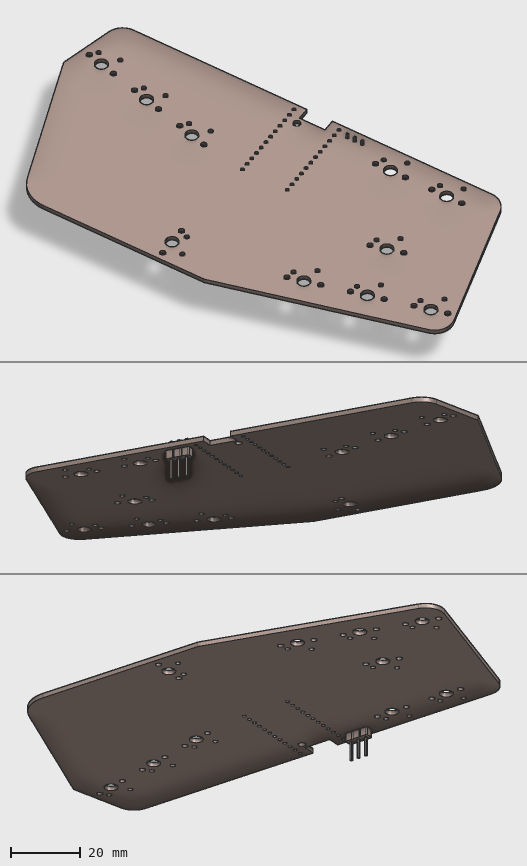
import cadquery as cq
import math


board_length = 149.0
board_width = 72.3
board_thickness = 1.5
slant = 15.0
left_tip_y = 50.8
front_left_x = 17.7
front_right_x = 79.5
corner_radius = 5.8
front_left_radius = 10.3

notch_left_x = 69.0
notch_width = 8.6
notch_depth = 4.0

pin_pitch = 2.5

switch_pitch = 19.0
slanted_row_count = 3
rear_row_count = 2
thumb_switch_angle = -90
center_hole_diameter = 4.0
post_hole_diameter = 1.8
post_offset = 5.0
contact_hole_diameter = 1.5
contact_offsets = [(-3.9, 2.5), (2.5, 5.0)]

left_row_start = (9.5, 56.0)
right_row_start = (104.1, 14.6)
rear_row_start = (102.0, 64.7)
thumb_switch = (63.9, 7.6)

controller_hole_diameter = 1.09
controller_hole_count = 12
controller_columns_x = (65.8, 81.0)
controller_front_y = 42.5

mount_hole_diameter = 2.2
mount_hole_place = (69.4, 66.1)

pin_count = 3
pin_side = 0.64
pin_hole_diameter = 1.0
pin_length = 11.5
pin_above_block = 3.0
block_height = 2.5
block_chamfer = 0.25
header_x = 87.1
header_y = 69.1

sin_slant = math.sin(math.radians(slant))
cos_slant = math.cos(math.radians(slant))
tan_slant = math.tan(math.radians(slant))

pin_places = [(header_x + (i - (pin_count - 1) / 2) * pin_pitch, header_y) for i in range(pin_count)]


def step_along(start, angle, steps):
    """Point that lies a number of switch pitches from start, in the direction of angle."""
    distance = steps * switch_pitch
    turn = math.radians(angle)
    return (start[0] + distance * math.cos(turn), start[1] + distance * math.sin(turn))


def round_corner(blank, corner, radius):
    middle = (*corner, board_thickness / 2)
    return blank.edges("|Z").edges(cq.NearestToPointSelector(middle)).fillet(radius)


def board_blank():
    right_x = board_length + corner_radius * (cos_slant + sin_slant - 1)
    right_y = (right_x - front_right_x) * tan_slant
    rear_left = ((board_width - left_tip_y) * tan_slant, board_width)
    rear_right = (right_x - (board_width - right_y) * tan_slant, board_width)
    right = (right_x, right_y)
    front_left = (front_left_x, 0)
    corners = [(0, left_tip_y), rear_left, rear_right, right, (front_right_x, 0), front_left]
    blank = cq.Workplane("XY").polyline(corners).close().extrude(board_thickness)
    for corner in (rear_left, rear_right, right):
        blank = round_corner(blank, corner, corner_radius)
    return round_corner(blank, front_left, front_left_radius)


def notch():
    return (
        cq.Workplane("XY")
        .box(notch_width, notch_depth, board_thickness, centered=False)
        .translate((notch_left_x, board_width - notch_depth, 0))
    )


def drills(places, diameter):
    return cq.Workplane("XY").pushPoints(places).circle(diameter / 2).extrude(board_thickness)


def switch_drills(place, angle):
    center = drills([(0, 0)], center_hole_diameter)
    posts = drills([(-post_offset, 0), (post_offset, 0)], post_hole_diameter)
    contacts = drills(contact_offsets, contact_hole_diameter)
    footprint = center.union(posts).union(contacts)
    return footprint.rotate((0, 0, 0), (0, 0, 1), angle).translate((*place, 0))


def switch_layout():
    """Place and angle of every switch."""
    left_row = [(step_along(left_row_start, -slant, i), -slant) for i in range(slanted_row_count)]
    right_row = [(step_along(right_row_start, slant, i), slant) for i in range(slanted_row_count)]
    middle_place = right_row[1][0]
    behind_right_row = (step_along(middle_place, slant + 90, 1), slant)
    rear_row = [(step_along(rear_row_start, 0, i), 0) for i in range(rear_row_count)]
    return left_row + right_row + [behind_right_row] + rear_row + [(thumb_switch, thumb_switch_angle)]


def controller_places():
    rows = [controller_front_y + i * pin_pitch for i in range(controller_hole_count)]
    return [(x, y) for x in controller_columns_x for y in rows]


def make_board():
    board = board_blank().cut(notch())
    for place, angle in switch_layout():
        board = board.cut(switch_drills(place, angle))
    board = board.cut(drills(controller_places(), controller_hole_diameter))
    board = board.cut(drills([mount_hole_place], mount_hole_diameter))
    return board.cut(drills(pin_places, pin_hole_diameter))


def make_header():
    """Octagonal insulator blocks joined in a row below the board, with a square pin through each."""
    header = cq.Workplane("XY")
    for x, y in pin_places:
        block = (
            cq.Workplane("XY", origin=(x, y, -block_height))
            .rect(pin_pitch, pin_pitch)
            .extrude(block_height)
            .edges("|Z")
            .chamfer(block_chamfer)
        )
        pin = (
            cq.Workplane("XY", origin=(x, y, pin_above_block - pin_length))
            .rect(pin_side, pin_side)
            .extrude(pin_length)
        )
        header = header.union(block).union(pin)
    return header


board = make_board()
header = make_header()
result = cq.Compound.makeCompound([board.val(), header.val()])